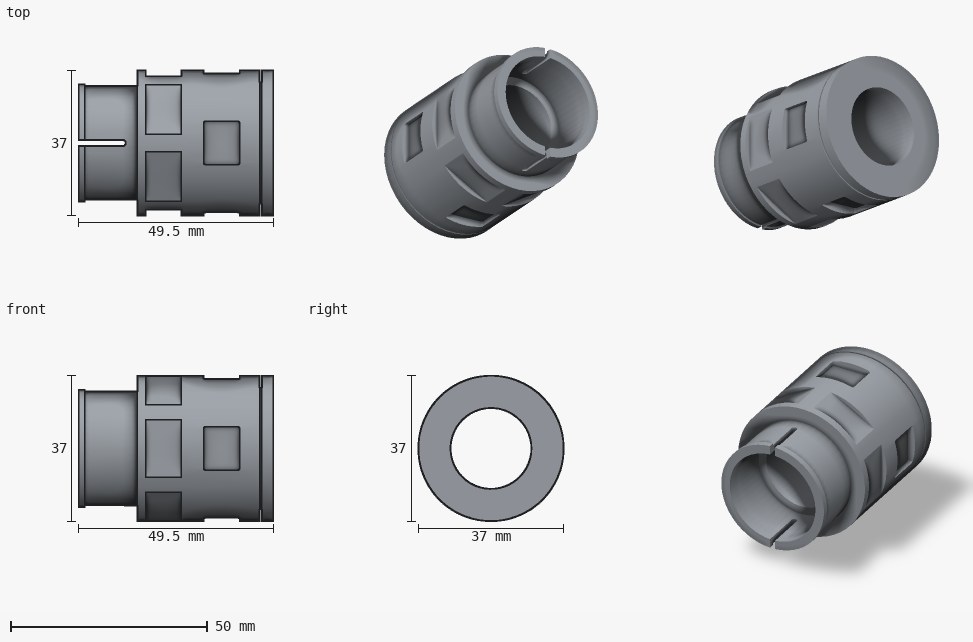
import cadquery as cq

length = 49.5
rim_end = 1.6
body_start = 14.95
flats_start = 17.1
flats_length = 9.0
pocket_start = 31.8
pocket_length = 9.1
groove_start = 46.0
groove_width = 0.55
bore_step = 14.95

body_diameter = 37.0
rim_diameter = 29.95
sleeve_diameter = 29.0
groove_diameter = 30.95
sleeve_bore = 25.0
through_bore = 20.5

flat_count = 6
across_flats = 34.0
pocket_count = 4
pocket_width = 11.0
pocket_floor_radius = 16.35
pocket_corner_radius = 0.5
slot_width = 1.5
slot_end = 12.0


def cylinder(start, end, diameter):
    """Solid cylinder on the X axis between two axial positions."""
    return cq.Workplane("YZ", origin=(start, 0, 0)).circle(diameter / 2).extrude(end - start)


def cut_around(body, cutter, count):
    """Cut evenly spaced copies of a cutter around the X axis."""
    for index in range(count):
        body = body.cut(cutter.rotate((0, 0, 0), (1, 0, 0), index * 360 / count))
    return body


def flat_cutter():
    """Block that leaves one wrench flat facing +Y."""
    return cq.Workplane("XY").box(
        flats_length, body_diameter, body_diameter, centered=(False, False, True)
    ).translate((flats_start, across_flats / 2, 0))


def pocket_cutter():
    """Block with rounded corners that leaves one flat-floored pocket facing +Z."""
    center_x = pocket_start + pocket_length / 2
    return (
        cq.Workplane("XY", origin=(center_x, 0, pocket_floor_radius))
        .rect(pocket_length, pocket_width)
        .extrude(body_diameter / 2)
        .edges("|Z")
        .fillet(pocket_corner_radius)
    )


def slot_cutter():
    """Round-ended slot through the top and bottom sleeve walls, open at the end face."""
    return cq.Workplane("XY").slot2D(2 * slot_end, slot_width).extrude(rim_diameter / 2, both=True)


groove_end = groove_start + groove_width
outside = (
    cylinder(0, rim_end, rim_diameter)
    .union(cylinder(rim_end, body_start, sleeve_diameter))
    .union(cylinder(body_start, groove_start, body_diameter))
    .union(cylinder(groove_start, groove_end, groove_diameter))
    .union(cylinder(groove_end, length, body_diameter))
)

part = outside.cut(cylinder(0, length, through_bore)).cut(cylinder(0, bore_step, sleeve_bore))

part = cut_around(part, flat_cutter(), flat_count)
part = cut_around(part, pocket_cutter(), pocket_count)
result = part.cut(slot_cutter())